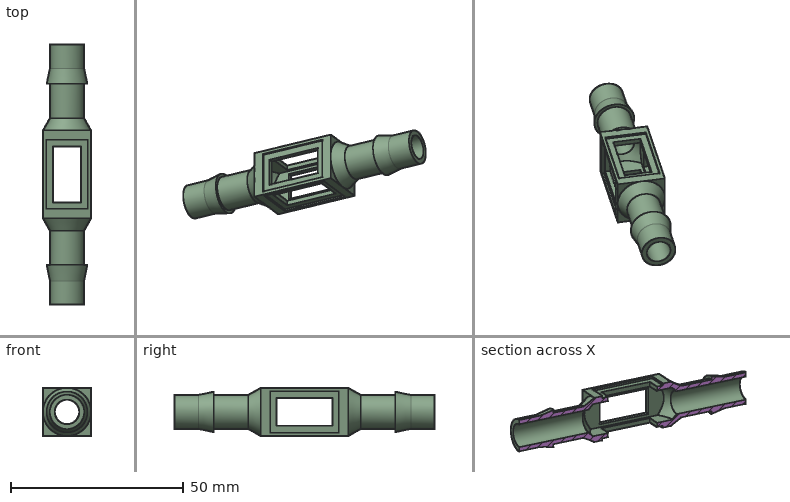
import cadquery as cq

total_length = 75.5
body_width = 14.0
body_length = 25.5

tube_diameter = 10.0
bore_diameter = 7.0
barb_diameter = 11.85
barb_tip_setback = 6.95
barb_length = 4.5
cone_length = 3.55

window_length = 16.15
window_width = 8.0
recess_length = 20.0
recess_width = 12.0
recess_depth = 0.6

wall_thickness = 2.05
chamber_width = body_width - 2 * wall_thickness
funnel_end = 14.65

tube_radius = tube_diameter / 2
bore_radius = bore_diameter / 2


def revolve_about_flow_axis(profile):
    """Turn a closed (radius, y) profile into a solid about the Y axis."""
    return cq.Workplane("XY").polyline(profile).close().revolve(360, (0, 0, 0), (0, 1, 0))


def make_tail():
    """Solid hose tail on the +Y side: cone, tube and barb."""
    body_end = body_length / 2
    cone_end = body_end + cone_length
    tail_end = total_length / 2
    barb_tip = tail_end - barb_tip_setback
    barb_heel = barb_tip - barb_length
    return revolve_about_flow_axis([
        (0, body_end),
        (body_width / 2, body_end),
        (tube_radius, cone_end),
        (tube_radius, barb_heel),
        (barb_diameter / 2, barb_heel),
        (tube_radius, barb_tip),
        (tube_radius, tail_end),
        (0, tail_end),
    ])


def make_chamber():
    """Square chamber whose two ends close down to the bore as cones."""
    middle_radius = bore_radius + funnel_end
    double_cone = revolve_about_flow_axis([
        (0, -funnel_end),
        (bore_radius, -funnel_end),
        (middle_radius, 0),
        (bore_radius, funnel_end),
        (0, funnel_end),
    ])
    square = cq.Workplane("XY").box(chamber_width, 2 * funnel_end, chamber_width)
    return square.intersect(double_cone)


def cut_windows(solid):
    """Cut a window with a shallow outer recess in all four long sides."""
    opening = cq.Workplane("XY").box(window_width, window_length, body_width)
    recess_floor_spacing = body_width - 2 * recess_depth
    recess_pair = (
        cq.Workplane("XY")
        .box(recess_width, recess_length, body_width)
        .cut(cq.Workplane("XY").box(recess_width, recess_length, recess_floor_spacing))
    )
    for angle in (0, 90):
        for cutter in (opening, recess_pair):
            solid = solid.cut(cutter.rotate((0, 0, 0), (0, 1, 0), angle))
    return solid


tail = make_tail()
body = cq.Workplane("XY").box(body_width, body_length, body_width)
body = body.union(tail).union(tail.mirror("XZ"))

bore = cq.Workplane("XZ").circle(bore_radius).extrude(total_length / 2, both=True)
result = cut_windows(body.cut(make_chamber()).cut(bore))